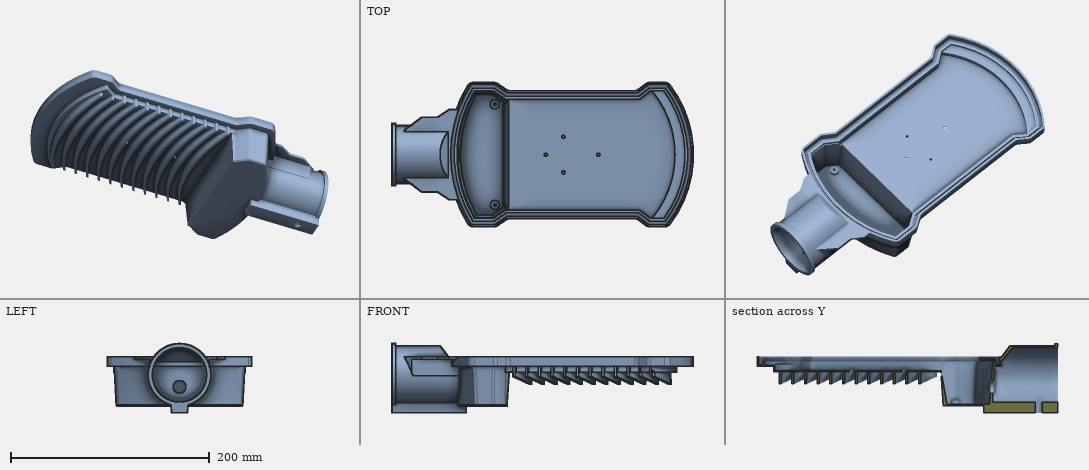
import cadquery as cq
import math


length = 303.0
rim_left = 57.0
overall_width = 145.0
rim_half_width = overall_width / 2
waist_half_width = 64.2
left_ear_end = 104.2
waist_start = 116.7
waist_end = 246.0
right_ear_start = 257.2
left_arc_radius = 133.3
right_arc_radius = 115.0
corner_radius = 7.5
rim_height = 9.7

rim_wall = 2.0
groove_inset = 5.8
cavity_inset = 8.5
body_inset = 6.5
groove_depth = 7.5
lip_depth = 4.8
ledge_depth = 8.2

tray_start = 114.2
tray_depth = 15.5
tray_floor = 14.0
tray_end = 286.0
tray_wall = 1.5
tray_end_radius = 100.0
lamp_holes = [(154.8, 0), (207.5, 0), (172.5, 18.0), (172.5, -18.0)]
lamp_hole_diameter = 2.7

box_depth = 49.7
box_floor = 47.3
box_draft = 3.0
cavity_draft = 4.5
box_corner_radius = 4.5
box_back_top = 118.2
box_back_bottom = 115.7
cavity_corner_radius = 3.0
cavity_back_top = 117.5
cavity_back_bottom = 111.5
box_edge = 1.2
boss_x = 103.5
boss_y = 50.5
boss_diameter = 9.0
boss_height = 3.3
boss_hole_diameter = 2.7

fin_count = 12
fin_pitch = 12.7
first_fin_tip = 140.5
fin_thickness = 2.5
fin_half_width = 59.5
fin_depth = 27.5
fin_end_depth = 20.0

axis_depth = 18.2
pipe_radius = 29.5
bore_radius = 27.3
collar_radius = 31.5
collar_length = 4.0
pipe_end = 71.2
roof_slope_start = 48.5
roof_slope_end = 57.0
roof_wall = 4.8
cable_hole_diameter = 12.7
cable_hole_depth = 30.3

rib_length = 74.8
rib_depth = 56.5
rib_top_width = 18.5
rib_bottom_width = 16.0
rib_end_radius = 2.0
rib_root_depth = axis_depth + bore_radius - 3
clamp_hole_x = 19.5
clamp_hole_diameter = 6.7

wing_tip_x = 12.7
wing_thickness = 2.7
wing_outline = [(wing_tip_x, 24.5), (30.0, 37.5), (45.8, 37.5), (58.0, 45.5), (pipe_end, 45.5)]
gusset_half_width = 30.0
gusset_depth = 19.0
gusset_toe_x = 21.5

reach = 2 * length


def arc_sag(radius, half_width):
    """Distance an arc falls back from its crown at the given half width."""
    return radius - math.sqrt(radius**2 - half_width**2)


def rim_outline(inset):
    """Rim outline moved inwards by the inset, as a closed wire on Z = 0."""
    left_corner = rim_left + arc_sag(left_arc_radius, rim_half_width)
    right_corner = length - arc_sag(right_arc_radius, rim_half_width)
    outline = (
        cq.Workplane("XY")
        .moveTo(left_corner, rim_half_width)
        .lineTo(left_ear_end, rim_half_width)
        .lineTo(waist_start, waist_half_width)
        .lineTo(waist_end, waist_half_width)
        .lineTo(right_ear_start, rim_half_width)
        .lineTo(right_corner, rim_half_width)
        .threePointArc((length, 0), (right_corner, -rim_half_width))
        .lineTo(right_ear_start, -rim_half_width)
        .lineTo(waist_end, -waist_half_width)
        .lineTo(waist_start, -waist_half_width)
        .lineTo(left_ear_end, -rim_half_width)
        .lineTo(left_corner, -rim_half_width)
        .threePointArc((rim_left, 0), (left_corner, rim_half_width))
        .close()
    )
    return outline.offset2D(-inset, "intersection") if inset else outline


def rim_layer(inset, depth):
    """Solid inside the inset rim outline, from the rim top down to the depth."""
    return rim_outline(inset).extrude(-depth)


def rounded_corners(solid, radius, end=length):
    """Solid with the edges between its top and bottom faces rounded, up to X = end."""
    corners = solid.edges("not (>Z or <Z)").filter(lambda edge: edge.Center().x < end)
    return corners.fillet(radius)


def disc(x, y, diameter, top, bottom):
    """Upright cylinder between two depths."""
    return (
        cq.Workplane("XY", origin=(x, y, -bottom))
        .circle(diameter / 2)
        .extrude(bottom - top)
    )


def lengthwise_cylinder(radius, end):
    """Cylinder on the socket axis from X = 0 to the end."""
    return cq.Workplane("YZ", origin=(0, 0, -axis_depth)).circle(radius).extrude(end)


def side_prism(points, half_width):
    """Prism with an XZ profile, centred on Y = 0."""
    return cq.Workplane("XZ").polyline(points).close().extrude(half_width, both=True)


def tray_layer(inset, end, depth):
    """Inset rim layer from the tray start to the curved tray end."""
    corner_x = end - arc_sag(tray_end_radius, rim_half_width)
    limit = (
        cq.Workplane("XY")
        .moveTo(tray_start, rim_half_width)
        .lineTo(corner_x, rim_half_width)
        .threePointArc((end, 0), (corner_x, -rim_half_width))
        .lineTo(tray_start, -rim_half_width)
        .close()
        .extrude(-depth)
    )
    return rim_layer(inset, depth).intersect(limit)


def drafted_box(inset, draft, radius, depth, back_top, back_bottom):
    """Drafted box inside the rim outline, closed by a sloping back wall below the tray."""
    drafted = rim_outline(inset).extrude(-depth, taper=draft)
    drafted = rounded_corners(drafted, radius, (left_ear_end + waist_start) / 2)
    limit = side_prism(
        [
            (0, 0),
            (back_top, 0),
            (back_top, -tray_floor),
            (back_bottom, -depth),
            (0, -depth),
        ],
        rim_half_width,
    )
    return drafted.intersect(limit)


def make_rim():
    """Outer rim band with rounded ear corners."""
    return rounded_corners(rim_layer(0, rim_height), corner_radius)


def make_box():
    """Outside of the driver box with a broken bottom edge except along the back."""
    box = drafted_box(body_inset, box_draft, box_corner_radius, box_depth, box_back_top, box_back_bottom)
    return box.faces("<Z").edges("not >X").chamfer(box_edge)


def make_fins():
    """Row of curved fins whose lower edges follow one shallow crown."""
    outer_sag = arc_sag(right_arc_radius, fin_half_width)
    fins = cq.Workplane("XY")
    for index in range(fin_count):
        tip = first_fin_tip + index * fin_pitch
        fin = (
            cq.Workplane("XY", origin=(tip, 0, -fin_depth))
            .moveTo(-outer_sag, fin_half_width)
            .threePointArc((0, 0), (-outer_sag, -fin_half_width))
            .lineTo(-outer_sag - fin_thickness, -fin_half_width)
            .threePointArc((-fin_thickness, 0), (-outer_sag - fin_thickness, fin_half_width))
            .close()
            .extrude(fin_depth - rim_height)
        )
        fins = fins.add(fin)
    crown_rise = fin_depth - fin_end_depth
    crown_radius = (fin_half_width**2 + crown_rise**2) / (2 * crown_rise)
    crown = (
        cq.Workplane("YZ", origin=(0, 0, crown_radius - fin_depth))
        .circle(crown_radius)
        .extrude(length)
    )
    return fins.combine().intersect(crown)


def roof_limit(drop):
    """Region under the socket roof, which slopes down to the rim; drop lowers the roof."""
    roof = pipe_radius - axis_depth
    return side_prism(
        [
            (0, reach),
            (roof_slope_start - drop, reach),
            (roof_slope_start - drop, roof),
            (roof_slope_end, -drop),
            (pipe_end, -drop),
            (pipe_end, -reach),
            (0, -reach),
        ],
        reach,
    )


def make_rib():
    """Clamp rib under the socket, slightly narrower at the bottom."""
    half_top = rib_top_width / 2
    half_bottom = rib_bottom_width / 2
    return (
        cq.Workplane("YZ")
        .polyline(
            [
                (-half_top, -rib_root_depth),
                (half_top, -rib_root_depth),
                (half_bottom, -rib_depth),
                (-half_bottom, -rib_depth),
            ]
        )
        .close()
        .extrude(rib_length)
        .faces(">X")
        .edges("not |Y")
        .fillet(rib_end_radius)
    )


def make_wings():
    """Flat wings level with the rim top, with gussets down to the sides of the pipe."""
    mirrored = [(x, -y) for x, y in reversed(wing_outline)]
    plan = cq.Workplane("XY").polyline(wing_outline + mirrored).close().extrude(-gusset_depth)
    toe = side_prism(
        [
            (wing_tip_x, 0),
            (pipe_end, 0),
            (pipe_end, -gusset_depth),
            (gusset_toe_x, -gusset_depth),
        ],
        reach,
    )
    plate = cq.Workplane("XY").box(reach, reach, wing_thickness, centered=(True, True, False))
    plate = plate.translate((0, 0, -wing_thickness))
    gusset = cq.Workplane("XY").box(reach, 2 * gusset_half_width, reach)
    return plan.intersect(toe).intersect(plate.union(gusset))


def make_socket():
    """Pole socket with collar, wings and clamp rib, bored and with its clamp screw hole."""
    socket = (
        lengthwise_cylinder(pipe_radius, pipe_end)
        .intersect(roof_limit(0))
        .union(lengthwise_cylinder(collar_radius, collar_length))
        .union(make_wings())
        .union(make_rib())
    )
    bore = lengthwise_cylinder(bore_radius, pipe_end).intersect(roof_limit(roof_wall))
    clamp_hole = disc(clamp_hole_x, 0, clamp_hole_diameter, axis_depth, rib_depth)
    return socket.cut(bore).cut(clamp_hole)


def make_cavity():
    """Everything hollow above the tray and inside the driver box."""
    seal_lip = rim_layer(groove_inset, groove_depth).cut(rim_layer(groove_inset, lip_depth))
    driver_space = drafted_box(
        cavity_inset,
        cavity_draft,
        cavity_corner_radius,
        box_floor,
        cavity_back_top,
        cavity_back_bottom,
    )
    return (
        rim_layer(rim_wall, groove_depth)
        .cut(seal_lip)
        .union(rim_layer(cavity_inset, ledge_depth))
        .union(tray_layer(cavity_inset, tray_end - tray_wall, tray_floor))
        .union(driver_space)
    )


housing = (
    make_rim()
    .union(tray_layer(body_inset, tray_end, tray_depth))
    .union(make_box())
    .union(make_socket())
    .cut(make_cavity())
    .union(make_fins().cut(rim_layer(cavity_inset, tray_floor)))
)

for side in (1, -1):
    boss_top = box_floor - boss_height
    housing = housing.union(disc(boss_x, side * boss_y, boss_diameter, boss_top, box_depth - box_edge))
    housing = housing.cut(disc(boss_x, side * boss_y, boss_hole_diameter, boss_top, box_floor))

for x, y in lamp_holes:
    housing = housing.cut(disc(x, y, lamp_hole_diameter, tray_floor, tray_depth))

cable_hole = (
    cq.Workplane("YZ", origin=(roof_slope_end, 0, -cable_hole_depth))
    .circle(cable_hole_diameter / 2)
    .extrude(boss_x - boss_diameter - roof_slope_end)
)

result = housing.cut(cable_hole)